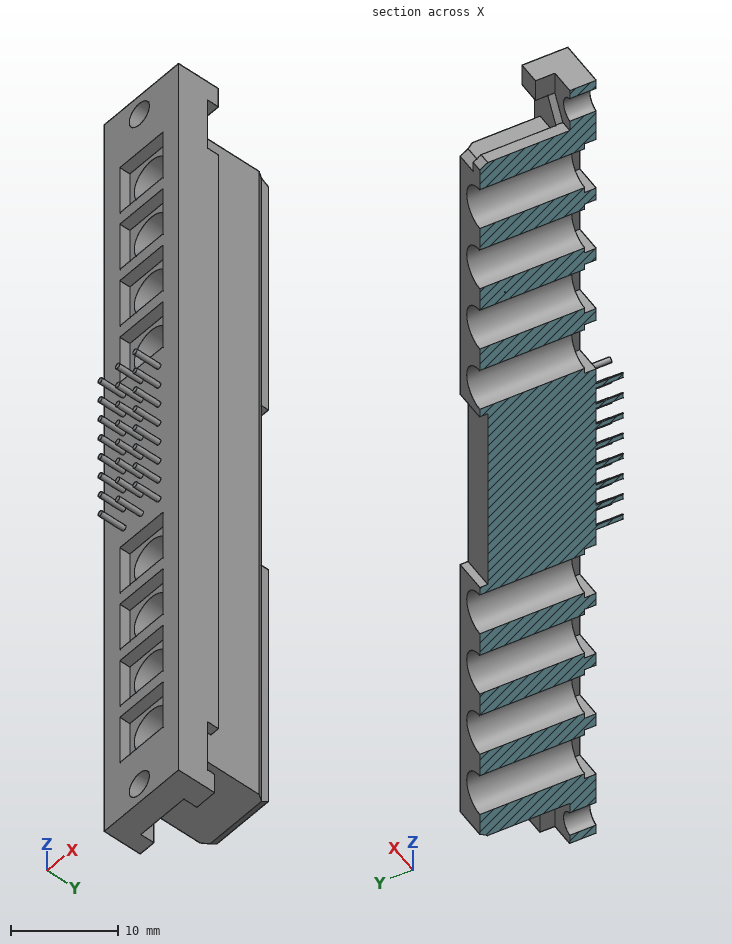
import cadquery as cq
import math


plate_width = 10.5
plate_length = 94.9
rail_height = 4.9
ledge_height = 3.6
bottom_lug_height = 4.5
half_plate = plate_length / 2

body_width = 8.35
body_length = 84.8
body_back = 11.7
edge_chamfer_x = 0.52
edge_chamfer_y = 0.8
key_edge = 1.2
key_depth = 1.1

ridge_width = 7.3
ridge_back = 12.5
ridge_gap = 21.4
ridge_end_chamfer = 0.6

mount_hole_diameter = 2.8
mount_hole_x = -0.3
mount_hole_z = 45.0
nut_floor = 2.8
nut_side = 3.0

notch_inner_z = 38.5

cavity_count = 4
cavity_pitch = 7.6
cavity_outer_z = 36.9
cavity_square = 6.1
cavity_square_depth = 1.2
cavity_diameter = 4.8

pin_diameter = 0.6
pin_length = 2.9
pin_columns = 3
pin_rows = 8
pin_column_pitch = 2.5
pin_field_length = 17.8
pin_row_pitch = pin_field_length / (pin_rows - 1)


def block(x_range, y_range, z_range):
    """Box between the given limits on each axis."""
    lows, highs = zip(x_range, y_range, z_range)
    size = [high - low for low, high in zip(lows, highs)]
    return cq.Workplane("XY").box(*size, centered=False).translate(lows)


def centred(width):
    return (-width / 2, width / 2)


def rods(points, diameter, y_start, y_end):
    """Round rods along Y at the given (x, z) points."""
    plane = cq.Workplane("XZ", origin=(0, y_start, 0))
    return plane.pushPoints(points).circle(diameter / 2).extrude(y_start - y_end)


def nut_pocket(end):
    """Half hexagon around a mounting hole, open towards the plate end (+1 upper, -1 lower)."""
    corner_z = end * mount_hole_z
    flat_z = end * (mount_hole_z - nut_side * math.sqrt(3) / 2)
    open_z = end * plate_length
    outline = [
        (mount_hole_x - nut_side, open_z),
        (mount_hole_x - nut_side, corner_z),
        (mount_hole_x - nut_side / 2, flat_z),
        (mount_hole_x + nut_side / 2, flat_z),
        (mount_hole_x + nut_side, corner_z),
        (mount_hole_x + nut_side, open_z),
    ]
    plane = cq.Workplane("XZ", origin=(0, nut_floor, 0))
    return plane.polyline(outline).close().extrude(nut_floor - rail_height)


def make_plate():
    full_width = centred(plate_width)
    plate = block(full_width, (0, rail_height), centred(plate_length))
    for z_range in ((notch_inner_z, mount_hole_z), (-mount_hole_z, -notch_inner_z)):
        plate = plate.cut(block(full_width, (ledge_height, rail_height), z_range))
    plate = plate.cut(block(full_width, (bottom_lug_height, rail_height), (-half_plate, -mount_hole_z)))
    for end in (1, -1):
        plate = plate.cut(nut_pocket(end))
    return plate


def make_body():
    half_width = body_width / 2
    chamfer_start = body_back - edge_chamfer_y
    section = [
        (-half_width, nut_floor),
        (half_width, nut_floor),
        (half_width, chamfer_start),
        (half_width - edge_chamfer_x, body_back),
        (-half_width + edge_chamfer_x, body_back),
        (-half_width, chamfer_start),
    ]
    body = cq.Workplane("XY").polyline(section).close().extrude(body_length / 2, both=True)
    key_step = block(
        (key_edge, half_width),
        (ledge_height, body_back),
        (body_length / 2 - key_depth, body_length / 2),
    )
    return body.cut(key_step)


def ridge_piece(x_range, outer_z):
    """Upper ridge over x_range, bevelled where it meets the body end at outer_z."""
    x_start, x_end = x_range
    inner_z = ridge_gap / 2
    profile = [
        (body_back, inner_z),
        (ridge_back, inner_z),
        (ridge_back, outer_z - ridge_end_chamfer),
        (body_back, outer_z),
    ]
    plane = cq.Workplane("YZ", origin=(x_start, 0, 0))
    return plane.polyline(profile).close().extrude(x_end - x_start)


def make_ridges():
    half_width = ridge_width / 2
    outer_z = body_length / 2
    upper = ridge_piece((-half_width, key_edge), outer_z)
    upper_keyed = ridge_piece((key_edge, half_width), outer_z - key_depth)
    lower = ridge_piece((-half_width, half_width), outer_z).mirror("XY")
    return upper.union(upper_keyed).union(lower)


def cut_mounting_holes(part):
    points = [(mount_hole_x, mount_hole_z), (mount_hole_x, -mount_hole_z)]
    return part.cut(rods(points, mount_hole_diameter, 0, rail_height))


def cut_contact_cavities(part):
    distances = [cavity_outer_z - i * cavity_pitch for i in range(cavity_count)]
    points = [(0, side * z) for side in (1, -1) for z in distances]
    squares = (
        cq.Workplane("XZ")
        .pushPoints(points)
        .rect(cavity_square, cavity_square)
        .extrude(-cavity_square_depth)
    )
    return part.cut(squares).cut(rods(points, cavity_diameter, 0, ridge_back))


def add_pins(part):
    points = [
        (
            (column - (pin_columns - 1) / 2) * pin_column_pitch,
            (row - (pin_rows - 1) / 2) * pin_row_pitch,
        )
        for column in range(pin_columns)
        for row in range(pin_rows)
    ]
    return part.union(rods(points, pin_diameter, 0, -pin_length))


shell = make_plate().union(make_body()).union(make_ridges())
result = add_pins(cut_contact_cavities(cut_mounting_holes(shell)))